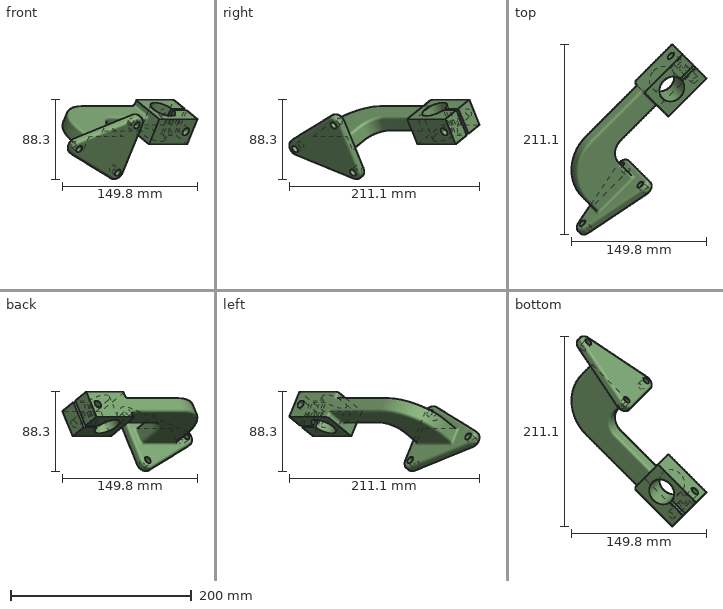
import cadquery as cq
import math

block_back = -25.0
block_front = 35.0
block_width = 43.5
block_height = 32.3
bore_diameter = 29.5
slot_width = 3.4
clamp_screw_diameter = 9.0
bore_x = -0.5
clamp_screw_x = 25.0

arm_width = 27.2
arm_height = 18.5
arm_edge_radius = 3.2
outer_bend_radius = 50.0
outer_bend_start = -105.0
inner_bend_radius = 19.0
leg_inner_x = -99.8
joint_radius = 2.5

plate_outer_y = -60.1
plate_thickness = 10.5
plate_corner_radius = 9.7
plate_edge_radius = 3.2
plate_hole_diameter = 8.0
plate_base_x = -100.0
plate_tip_x = -175.5
plate_base_spacing = 60.5

tilt_about_arm = 30
turn_about_vertical = 45

arm_outer_y = block_width / 2
arm_inner_y = arm_outer_y - arm_width
leg_outer_x = outer_bend_start - outer_bend_radius
plate_inner_y = plate_outer_y + plate_thickness
hole_points = [
    (plate_base_x, plate_base_spacing / 2),
    (plate_base_x, -plate_base_spacing / 2),
    (plate_tip_x, 0),
]


def clamp_block():
    return cq.Workplane("XY").box(
        block_front - block_back, block_width, block_height
    ).translate(((block_front + block_back) / 2, 0, 0))


def curved_arm():
    """Arm that widens through its bend."""
    return (
        cq.Workplane("XY", origin=(0, 0, -arm_height / 2))
        .moveTo(block_back, arm_outer_y)
        .lineTo(outer_bend_start, arm_outer_y)
        .radiusArc((leg_outer_x, arm_outer_y - outer_bend_radius), -outer_bend_radius)
        .lineTo(leg_outer_x, plate_inner_y)
        .lineTo(leg_inner_x, plate_inner_y)
        .lineTo(leg_inner_x, arm_inner_y - inner_bend_radius)
        .radiusArc((leg_inner_x + inner_bend_radius, arm_inner_y), inner_bend_radius)
        .lineTo(block_back, arm_inner_y)
        .close()
        .extrude(arm_height)
    )


def mounting_plate():
    """Triangle with corners concentric with its screw holes and rounded rims."""
    plate = (
        cq.Workplane("XZ", origin=(0, plate_inner_y, 0))
        .polyline(hole_points)
        .close()
        .offset2D(plate_corner_radius)
        .extrude(plate_thickness)
    )
    return plate.faces("<Y or >Y").edges().fillet(plate_edge_radius)


def box_around(low, high):
    """Selector for the edges whose centres lie in a box, with a little clearance."""
    clearance = 0.2
    return cq.selectors.BoxSelector(
        tuple(value - clearance for value in low),
        tuple(value + clearance for value in high),
    )


def round_bend_edges(body, bend_x, bend_y):
    """Round the upper and lower edges of one bend and everything tangent to them."""
    reach = outer_bend_radius / 3
    for side in (-arm_height / 2, arm_height / 2):
        bend = box_around(
            (bend_x - reach, bend_y - reach, side), (bend_x + reach, bend_y + reach, side)
        )
        body = body.edges(bend).edges("%CIRCLE").fillet(arm_edge_radius)
    return body


def soften_arm(body):
    """Fill both arm joints and round the long arm edges and the fillets they run into."""
    half_height = arm_height / 2
    diagonal = math.sqrt(0.5)
    block_joint = box_around(
        (block_back, arm_inner_y, -half_height), (block_back, arm_outer_y - joint_radius, half_height)
    )
    plate_joint = box_around(
        (leg_outer_x, plate_inner_y, -half_height), (leg_inner_x, plate_inner_y, half_height)
    )
    body = body.edges(plate_joint).fillet(joint_radius)
    body = round_bend_edges(
        body,
        leg_inner_x + inner_bend_radius * (1 - diagonal),
        arm_inner_y - inner_bend_radius * (1 - diagonal),
    )
    body = body.edges(block_joint).fillet(joint_radius)
    return round_bend_edges(
        body,
        outer_bend_start - outer_bend_radius * diagonal,
        arm_outer_y - outer_bend_radius * (1 - diagonal),
    )


def cut_holes(body):
    bore = cq.Workplane("XY").center(bore_x, 0).circle(bore_diameter / 2).extrude(block_height, both=True)
    slot = cq.Workplane("XY").box(
        block_front, slot_width, block_height, centered=(False, True, True)
    )
    clamp_screw = (
        cq.Workplane("XZ")
        .center(clamp_screw_x, 0)
        .circle(clamp_screw_diameter / 2)
        .extrude(block_width, both=True)
    )
    plate_holes = (
        cq.Workplane("XZ", origin=(0, plate_inner_y, 0))
        .pushPoints(hole_points)
        .circle(plate_hole_diameter / 2)
        .extrude(plate_thickness)
    )
    return body.cut(bore).cut(slot).cut(clamp_screw).cut(plate_holes)


body = clamp_block().union(curved_arm()).union(mounting_plate())
body = soften_arm(body)
body = cut_holes(body)

result = body.rotate((0, 0, 0), (1, 0, 0), tilt_about_arm).rotate(
    (0, 0, 0), (0, 0, 1), turn_about_vertical
)